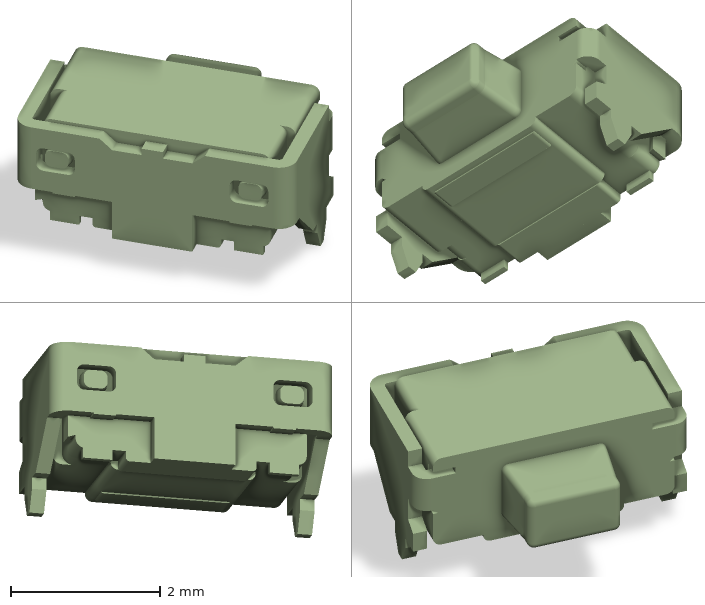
import cadquery as cq


frame_half_width = 1.95
frame_depth = 2.05
frame_top = 1.55
sheet = 0.2
front_bend_radius = 0.25
front_bend_inner_radius = 0.05
rear_bend_radius = 0.21
front_wall_bottom = 0.58

front_tongue_half_width = 0.56
top_notch_half_width = 0.74
top_notch_floor = 1.4
top_tab_half_width = 0.15
top_tab_top = 1.5
lower_step_inner_x = 1.085
lower_step_outer_x = 1.395
lower_step_height = 0.02

side_wall_rear_y = 1.7
side_foot_rear_y = 1.9
side_foot_rear_top = 0.3
side_slope_top = 0.4
side_front_foot_y = 0.98
side_front_slope_y = 0.35
rear_tab_bottom = 0.75
rear_tab_top = 1.29
rear_tab_inner_x = 1.4
tab_lip_outer_x = 1.72
tab_lip_bottom = 0.685

leg_center_y = 1.39
leg_half_width = 0.21
leg_tip_half_width = 0.07
leg_shoulder = -0.16
leg_tip = -0.45

window_x = 1.355
window_z = 1.07
window_width = 0.54
window_height = 0.355
window_radius = 0.1
boss_width = 0.38
boss_height = 0.305
boss_radius = 0.12
boss_length = 0.15
boss_taper = 10

housing_front = sheet
housing_step_y = 0.95
housing_rear = frame_depth
housing_front_half_width = 1.595
housing_rear_half_width = 1.72
housing_bottom = 0.14
housing_top = 1.6
housing_edge_radius = 0.125
housing_waist_edge_radius = 0.16

foot_half_width = 0.9
foot_edge_radius = 0.05
front_foot_rear_y = 0.64
rear_foot_front_y = 1.6
rear_foot_rear_y = 1.95
rib_half_width = 1.0
rib_bottom = 0.02
rib_edge_radius = 0.1

lug_outer_x = 1.7
lug_outer_rear_y = 0.46
lug_inner_rear_y = 0.41
lug_outer_bottom = 0.277
lug_inner_bottom = 0.313
lug_top = 0.85

tab_recess_top = 1.395

terminal_inner_x = 1.085
terminal_outer_x = 1.49
terminal_top = 0.35
terminal_thickness = 0.085

button_center_z = 0.798
button_base_half_width = 0.745
button_base_half_height = 0.452
button_head_half_width = 0.662
button_head_half_height = 0.412
button_taper_end_y = 2.69
button_end_y = 2.9
button_edge_radius = 0.1
button_end_radius = 0.095


def block(x_range, y_range, z_range):
    """Box between the given limits on each axis."""
    size = [high - low for low, high in (x_range, y_range, z_range)]
    corner = (x_range[0], y_range[0], z_range[0])
    return cq.Workplane("XY").box(*size, centered=False).translate(corner)


def xz_plane(y):
    """Workplane at the given Y with local axes X and Z; extrusions grow toward -Y."""
    return cq.Workplane(cq.Plane(origin=(0, y, 0), xDir=(1, 0, 0), normal=(0, -1, 0)))


def side_span(side, inner, outer):
    """X limits of a feature that lies on the given side (-1 or 1)."""
    return tuple(sorted((side * inner, side * outer)))


def rounded_bar(half_width, y_range, z_range, radius, edges="|Y"):
    """Box centred on X = 0 with the selected edges rounded."""
    bar = block((-half_width, half_width), y_range, z_range)
    return bar.edges(edges).fillet(radius)


def window_prism(x, width, height, radius, y_range, taper=0):
    """Rounded rectangle at one window position, running from the higher Y to the lower Y."""
    low, high = y_range
    sketch = cq.Sketch().rect(width, height).vertices().fillet(radius)
    return xz_plane(high).center(x, window_z).placeSketch(sketch).extrude(high - low, taper=taper)


def make_rear_tab(side):
    """Tab that extends a side wall rearward and wraps around the housing's rear corner."""
    rear_y = (frame_depth - sheet, frame_depth)
    tab_z = (rear_tab_bottom, rear_tab_top)
    outer_arm_x = side_span(side, frame_half_width - sheet, frame_half_width)
    tab = block(outer_arm_x, (side_wall_rear_y, frame_depth), tab_z)
    tab = tab.union(block(side_span(side, rear_tab_inner_x, frame_half_width), rear_y, tab_z))
    outer_corner = "|Z and >Y and " + ("<X" if side < 0 else ">X")
    tab = tab.edges(outer_corner).fillet(rear_bend_radius)

    lip_height = rear_tab_bottom - tab_lip_bottom
    lip_outline = [
        (side * tab_lip_outer_x, rear_tab_bottom),
        (side * (tab_lip_outer_x - lip_height), tab_lip_bottom),
        (side * rear_tab_inner_x, tab_lip_bottom),
        (side * rear_tab_inner_x, rear_tab_bottom),
    ]
    return tab.union(xz_plane(frame_depth).polyline(lip_outline).close().extrude(sheet))


def make_frame():
    inner_half_width = frame_half_width - sheet
    height = (leg_tip, frame_top)
    wall = block((-frame_half_width, frame_half_width), (0, frame_depth), height)
    wall = wall.edges("|Z and <Y").fillet(front_bend_radius)
    cavity = block((-inner_half_width, inner_half_width), (sheet, frame_depth), height)
    wall = wall.cut(cavity.edges("|Z and <Y").fillet(front_bend_inner_radius))

    side_outline = [
        (0, frame_top),
        (side_wall_rear_y, frame_top),
        (side_wall_rear_y, side_slope_top),
        (side_foot_rear_y, side_foot_rear_top),
        (side_foot_rear_y, 0),
        (leg_center_y + leg_half_width, 0),
        (leg_center_y + leg_half_width, leg_shoulder),
        (leg_center_y + leg_tip_half_width, leg_tip),
        (leg_center_y - leg_tip_half_width, leg_tip),
        (leg_center_y - leg_half_width, leg_shoulder),
        (leg_center_y - leg_half_width, 0),
        (side_front_foot_y, 0),
        (side_front_slope_y, front_wall_bottom),
        (0, front_wall_bottom),
    ]
    side_prism = cq.Workplane("YZ").polyline(side_outline).close().extrude(frame_half_width, both=True)
    frame = wall.intersect(side_prism)

    for side in (-1, 1):
        frame = frame.union(make_rear_tab(side))

    tongue_x = (-front_tongue_half_width, front_tongue_half_width)
    frame = frame.union(block(tongue_x, (0, sheet), (0, front_wall_bottom)))
    for side in (-1, 1):
        step_x = side_span(side, lower_step_inner_x, lower_step_outer_x)
        step_z = (front_wall_bottom - lower_step_height, front_wall_bottom)
        frame = frame.union(block(step_x, (0, sheet), step_z))

    notch_outline = [
        (-top_notch_half_width, frame_top),
        (-front_tongue_half_width, top_notch_floor),
        (-top_tab_half_width, top_notch_floor),
        (-top_tab_half_width, top_tab_top),
        (top_tab_half_width, top_tab_top),
        (top_tab_half_width, top_notch_floor),
        (front_tongue_half_width, top_notch_floor),
        (top_notch_half_width, frame_top),
    ]
    frame = frame.cut(xz_plane(sheet).polyline(notch_outline).close().extrude(sheet))

    for side in (-1, 1):
        window = window_prism(side * window_x, window_width, window_height, window_radius, (0, sheet))
        frame = frame.cut(window)
    return frame


def make_terminal(side):
    x_range = side_span(side, terminal_inner_x, terminal_outer_x)
    y_range = (housing_front, housing_front + terminal_thickness)
    return block(x_range, y_range, (0, terminal_top))


def make_lug():
    """Stub on the -X side of the housing, with a sloped underside and a slanted rear face."""
    inner_x = housing_front_half_width
    side_outline = [
        (-inner_x, lug_inner_bottom),
        (-lug_outer_x, lug_outer_bottom),
        (-lug_outer_x, lug_top),
        (-inner_x, lug_top),
    ]
    plan_outline = [
        (-inner_x, housing_front),
        (-lug_outer_x, housing_front),
        (-lug_outer_x, lug_outer_rear_y),
        (-inner_x, lug_inner_rear_y),
    ]
    side_prism = xz_plane(lug_outer_rear_y).polyline(side_outline).close()
    side_prism = side_prism.extrude(lug_outer_rear_y - housing_front)
    plan_prism = cq.Workplane("XY").polyline(plan_outline).close().extrude(lug_top)
    return side_prism.intersect(plan_prism)


def make_housing():
    body_z = (housing_bottom, housing_top)
    rear_y = (housing_step_y, housing_rear)
    lower_edges = "|Y and <Z"
    front_y = (housing_front, housing_step_y)
    front = rounded_bar(housing_front_half_width, front_y, body_z, housing_edge_radius)

    waist_y = (front_foot_rear_y, housing_step_y)
    lower_half_z = (housing_bottom, (housing_bottom + housing_top) / 2)
    waist = rounded_bar(
        housing_front_half_width, waist_y, lower_half_z, housing_waist_edge_radius, lower_edges
    )
    front = front.cut(block((-frame_half_width, frame_half_width), waist_y, lower_half_z)).union(waist)

    housing = front.union(rounded_bar(housing_rear_half_width, rear_y, body_z, housing_edge_radius))

    embed_z = housing_bottom + housing_edge_radius
    rib_y = (front_foot_rear_y, housing_rear)
    rib = rounded_bar(rib_half_width, rib_y, (rib_bottom, embed_z), rib_edge_radius, lower_edges)
    housing = housing.union(rib)
    front_foot_y = (housing_front, front_foot_rear_y)
    rear_foot_y = (rear_foot_front_y, rear_foot_rear_y)
    for foot_y in (front_foot_y, rear_foot_y):
        foot = rounded_bar(foot_half_width, foot_y, (0, embed_z), foot_edge_radius, lower_edges)
        housing = housing.union(foot)

    housing = housing.union(make_lug())

    boss_y = (housing_front - boss_length, housing_front)
    for side in (-1, 1):
        boss = window_prism(side * window_x, boss_width, boss_height, boss_radius, boss_y, boss_taper)
        housing = housing.union(boss)
        recess_x = side_span(side, rear_tab_inner_x, housing_rear_half_width)
        recess_y = (housing_rear - sheet, housing_rear)
        housing = housing.cut(block(recess_x, recess_y, (tab_lip_bottom, tab_recess_top)))
        housing = housing.cut(make_terminal(side))
    return housing


def button_section(half_width, half_height):
    """Cross-section of the button, with rounded corners."""
    return cq.Sketch().rect(2 * half_width, 2 * half_height).vertices().fillet(button_edge_radius)


def make_button():
    base_section = button_section(button_base_half_width, button_base_half_height)
    head_section = button_section(button_head_half_width, button_head_half_height)
    base_plane = cq.Plane(origin=(0, housing_rear, button_center_z), xDir=(-1, 0, 0), normal=(0, 1, 0))
    base = cq.Workplane(base_plane)
    taper_length = button_taper_end_y - housing_rear
    taper_end = base.workplane(offset=taper_length)
    end_shift = cq.Location(cq.Vector(0, 0, taper_length))
    taper = base.placeSketch(base_section, head_section.moved(end_shift)).loft(ruled=True)
    head = taper_end.placeSketch(head_section).extrude(button_end_y - button_taper_end_y)
    head = head.faces(">Y").edges().fillet(button_end_radius)
    return taper.union(head)


frame = make_frame()
housing = make_housing()
button = make_button()
terminals = [make_terminal(side) for side in (-1, 1)]

result = cq.Compound.makeCompound(
    [frame.val(), housing.val(), button.val(), *[terminal.val() for terminal in terminals]]
)